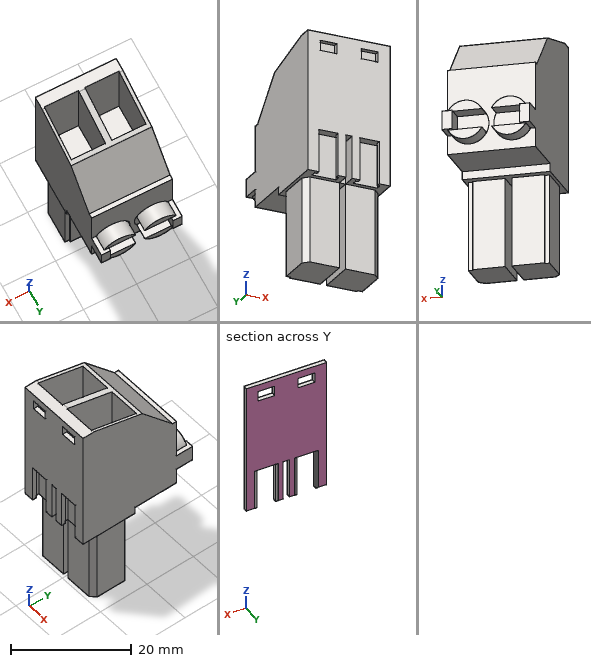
import cadquery as cq


HEIGHT = 41.15
WIDTH = 15.23
DEPTH = 23.6
POLE_PITCH = 7.6
POLE_CENTRES = (-POLE_PITCH / 2, POLE_PITCH / 2)

BLOCK_DEPTH = 20.15
BLOCK_BOTTOM = 15.55
TOP_FLAT = 2.45
RIDGE_Y = 12.8
RIDGE_Z = 38.6
LEDGE_Y = 19.3
LEDGE_Z = 31.8
STEP_Y = 11.25
STEP_Z = 16.95

LEGS_WIDTH = 14.07
LEG_GAP = 1.15
LEG_FRONT = 2.55
LEG_BACK = 9.88
FRONT_CHAMFER = 1.0
REBATE_WIDTH = 0.82
REBATE_DEPTH = 0.35

SLOT_TOP = 23.3
SLOT_WIDTH = 3.55
SLOT_LIP = 0.8
SLOT_DEPTH = 1.7
SLOT_UNDERCUT = 0.45

ENTRY_WIDTH = 6.4
ENTRY_FRONT = 2.25
ENTRY_BACK = 11.95
ENTRY_FLOOR = 26.75
ENTRY_SHIFT = 0.1

WINDOW_WIDTH = 3.05
WINDOW_BOTTOM = 37.8
WINDOW_TOP = 39.65
WINDOW_DEPTH = 0.9

TAB_WIDTH = 1.73
TAB_HEIGHT = 3.25

SCREW_Z = 21.85
SCREW_RADIUS = 3.37
SCREW_END = 23.05
SCREW_SEAT = 2.05


def box(x_range, y_range, z_range):
    """Box between the given limits along each axis."""
    spans = [high - low for low, high in (x_range, y_range, z_range)]
    corner = (x_range[0], y_range[0], z_range[0])
    return cq.Workplane("XY").box(*spans, centered=False).translate(corner)


def centred(middle, size):
    """Limits of a span of the given size about its middle."""
    return (middle - size / 2, middle + size / 2)


def make_block():
    outline = [
        (0, BLOCK_BOTTOM),
        (0, HEIGHT),
        (TOP_FLAT, HEIGHT),
        (RIDGE_Y, RIDGE_Z),
        (LEDGE_Y, LEDGE_Z),
        (BLOCK_DEPTH, LEDGE_Z),
        (BLOCK_DEPTH, STEP_Z),
        (STEP_Y, STEP_Z),
        (STEP_Y, BLOCK_BOTTOM),
    ]
    return cq.Workplane("YZ").polyline(outline).close().extrude(WIDTH / 2, both=True)


def make_legs():
    """Both plug legs: outer edges chamfered in front and stepped behind, a gap between."""
    half = LEGS_WIDTH / 2
    left_side = [
        (-half + REBATE_WIDTH, LEG_BACK),
        (-half + REBATE_WIDTH, LEG_BACK - REBATE_DEPTH),
        (-half, LEG_BACK - REBATE_DEPTH),
        (-half, LEG_FRONT + FRONT_CHAMFER),
        (-half + FRONT_CHAMFER, LEG_FRONT),
    ]
    right_side = [(-x, y) for x, y in reversed(left_side)]
    legs = cq.Workplane("XY").polyline(left_side + right_side).close().extrude(BLOCK_BOTTOM)
    gap = box(centred(0, LEG_GAP), (LEG_FRONT, LEG_BACK), (0, BLOCK_BOTTOM))
    return legs.cut(gap)


def make_tab(side):
    """Tab on the back, flush with one side of the block (side is -1 or 1)."""
    middle = side * (WIDTH - TAB_WIDTH) / 2
    return box(centred(middle, TAB_WIDTH), (BLOCK_DEPTH, DEPTH), centred(SCREW_Z, TAB_HEIGHT))


def slot_cut(x):
    """Slot that is open downward and wider behind its front lip."""
    z_range = (BLOCK_BOTTOM, SLOT_TOP)
    mouth = box(centred(x, SLOT_WIDTH), (0, SLOT_LIP), z_range)
    channel = box(centred(x, SLOT_WIDTH + 2 * SLOT_UNDERCUT), (SLOT_LIP, SLOT_DEPTH), z_range)
    return mouth.union(channel)


def entry_cut(x):
    return box(centred(x + ENTRY_SHIFT, ENTRY_WIDTH), (ENTRY_FRONT, ENTRY_BACK), (ENTRY_FLOOR, HEIGHT))


def window_cut(x):
    return box(centred(x, WINDOW_WIDTH), (0, WINDOW_DEPTH), (WINDOW_BOTTOM, WINDOW_TOP))


def screw_rod(x, end):
    """Plain cylinder along Y from the bottom of the screw seat to the given end."""
    seat = BLOCK_DEPTH - SCREW_SEAT
    plane = cq.Workplane("XZ", origin=(x, seat, SCREW_Z))
    return plane.circle(SCREW_RADIUS).extrude(seat - end)


def make_housing():
    housing = make_block().union(make_legs())
    for side in (-1, 1):
        housing = housing.union(make_tab(side))
    for x in POLE_CENTRES:
        housing = housing.cut(slot_cut(x))
        housing = housing.cut(entry_cut(x))
        housing = housing.cut(window_cut(x))
        housing = housing.cut(screw_rod(x, BLOCK_DEPTH))
    centre_slot = box(centred(0, LEG_GAP), (0, LEG_FRONT), (BLOCK_BOTTOM, SLOT_TOP))
    return housing.cut(centre_slot)


def make_screw(x):
    """Screw whose driver slot, as tall as the tabs, reaches down to the housing."""
    driver_slot = box(
        centred(x, 2 * SCREW_RADIUS),
        (BLOCK_DEPTH, SCREW_END),
        centred(SCREW_Z, TAB_HEIGHT),
    )
    return screw_rod(x, SCREW_END).cut(driver_slot)


housing = make_housing()
screws = [make_screw(x) for x in POLE_CENTRES]

result = cq.Compound.makeCompound([housing.val(), *[screw.val() for screw in screws]])